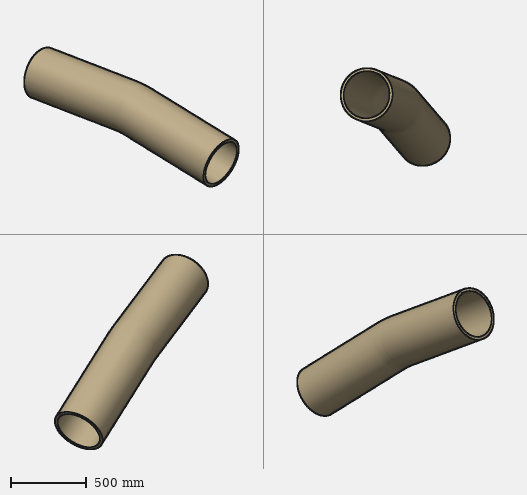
import cadquery as cq
import math

overall_length = 1596
outer_diameter = 355.0
inner_diameter = 313.0
bend_radius = 1.5 * outer_diameter
bend_angle = 11.1

slope = math.radians(bend_angle)
bend_length = bend_radius * math.sin(slope)
end_overhang = outer_diameter / 2 * math.sin(slope)
leg_length = (overall_length - bend_length - end_overhang) / (1 + math.cos(slope))


def bend_point(angle_degrees):
    """Centreline point of the bend after turning through the given angle."""
    angle = math.radians(angle_degrees)
    x = leg_length + bend_radius * math.sin(angle)
    z = -bend_radius * (1 - math.cos(angle))
    return (x, z)


bend_start = bend_point(0)
bend_middle = bend_point(bend_angle / 2)
bend_end = bend_point(bend_angle)
pipe_end = (
    bend_end[0] + leg_length * math.cos(slope),
    bend_end[1] - leg_length * math.sin(slope),
)
centreline = (
    cq.Workplane("XZ")
    .lineTo(*bend_start)
    .threePointArc(bend_middle, bend_end)
    .lineTo(*pipe_end)
)

result = (
    cq.Workplane("YZ")
    .circle(outer_diameter / 2)
    .circle(inner_diameter / 2)
    .sweep(centreline)
)